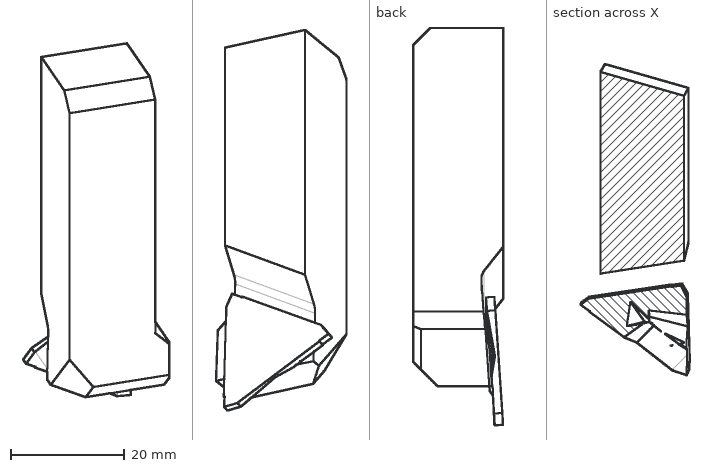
import cadquery as cq
import math

width = 15.9
bottom = 6.9
top = 70.1
top_chamfer = 3.0

heel_depth = 3.1
heel_height = 10.1
heel_corner_along_x = 1.4
heel_corner_along_y = 0.55
back = width + heel_depth

relief_front = 10.6
relief_back = 4.35
relief_slant_depth = (relief_front - relief_back) / math.sqrt(2)

climb_angle = 30.0
tilt_angle = 4.5
wall_angle = 42.5
notch_start = 22.4
notch_radius = 1.8
seat_gap = 2.1
pad_radius = 5.95
cut_reach = 42.1

insert_y = 9.2
insert_z = 11.15
insert_face_x = 1.05
corner_count = 3
side_distance = 7.1
tip_offset = 6.95
tip_reach = 11.1
heel_offset = 4.35
heel_reach = 10.8
step_reach = 9.0
tip_thickness = 1.5
middle_thickness = 0.6
ramp_start = -2.45
ramp_end = 1.1

climb = math.radians(climb_angle)
tilt = math.radians(tilt_angle)
climb_direction = cq.Vector(0, math.cos(climb), math.sin(climb))
across_direction = cq.Vector(0, -math.sin(climb), math.cos(climb))
seat_normal = cq.Vector(1, 0, 0) * math.cos(tilt) - across_direction * math.sin(tilt)
insert_center = cq.Vector(insert_face_x, insert_y, insert_z)
insert_plane = cq.Plane(insert_center, climb_direction, seat_normal)
corner_angles = [k * 360.0 / corner_count - climb_angle for k in range(corner_count)]


def make_blank():
    """Square shank with a chamfered top edge."""
    blank = cq.Workplane("XY", origin=(0, 0, bottom)).box(width, width, top - bottom, centered=False)
    return blank.faces(">Z").edges(">X").chamfer(top_chamfer)


def make_heel():
    """Block behind the shank with a 45 degree upper face and a chamfered back right corner."""
    heel_top = bottom + heel_height
    heel = (
        cq.Workplane("YZ")
        .moveTo(width, bottom)
        .lineTo(back, bottom)
        .lineTo(back, heel_top)
        .lineTo(width, heel_top + heel_depth)
        .close()
        .extrude(width)
    )
    corner = (
        cq.Workplane("XY", origin=(0, 0, bottom))
        .moveTo(width, back)
        .lineTo(width - heel_corner_along_x, back)
        .lineTo(width, back - heel_corner_along_y)
        .close()
        .extrude(heel_height + heel_depth)
    )
    return heel.cut(corner)


def corner_triangle(leg, y):
    """Wire of the lower right 45 degree corner at depth y."""
    points = [(width, y, bottom), (width - leg, y, bottom), (width, y, bottom + leg)]
    return cq.Wire.makePolygon([cq.Vector(*point) for point in points], close=True)


def make_relief():
    """Corner wedge that narrows behind the front face, then runs straight to the back."""
    front_section = corner_triangle(relief_front, 0)
    inner_section = corner_triangle(relief_back, relief_slant_depth)
    back_section = corner_triangle(relief_back, back)
    slanted = cq.Workplane(cq.Solid.makeLoft([front_section, inner_section], True))
    straight = cq.Workplane(cq.Solid.makeLoft([inner_section, back_section], True))
    return slanted.union(straight)


def make_notch():
    """Channel along the climb direction: sloping wall, rounded root and flat seat."""
    plane = cq.Plane((0, 0, notch_start), (1, 0, 0), climb_direction * -1)
    slope = math.tan(tilt)
    center_across = (insert_center - cq.Vector(0, 0, notch_start)).dot(across_direction)
    seat_x = insert_face_x + seat_gap / math.cos(tilt) - slope * center_across
    wall_slope = math.tan(math.radians(wall_angle))
    root_across = -seat_x / (wall_slope + slope)
    root_x = -wall_slope * root_across
    end_x = seat_x - slope * cut_reach
    notch = (
        cq.Workplane(plane)
        .moveTo(0, 0)
        .lineTo(root_x, root_across)
        .lineTo(end_x, -cut_reach)
        .lineTo(-cut_reach, -cut_reach)
        .lineTo(-cut_reach, 0)
        .close()
        .extrude(cut_reach, both=True)
    )
    root = cq.selectors.NearestToPointSelector(plane.toWorldCoords((root_x, root_across, 0)).toTuple())
    return notch.edges(root).fillet(notch_radius)


def make_pad():
    """Round raised pad on the seat that carries the insert, cut off level with the bottom of the holder."""
    base = insert_center + seat_normal * tip_thickness
    pad = cq.Workplane(cq.Solid.makeCylinder(pad_radius, seat_gap - tip_thickness, base, seat_normal))
    above_bottom = cq.Workplane("XY", origin=(0, 0, bottom)).box(width, back, top - bottom, centered=False)
    return pad.intersect(above_bottom)


def turned(x, y, angle):
    """Point turned about the insert axis by an angle in degrees."""
    a = math.radians(angle)
    return (x * math.cos(a) - y * math.sin(a), x * math.sin(a) + y * math.cos(a))


def make_plate():
    """Triangular plate whose corners are cut square to one side."""
    corner = [
        (heel_offset, -heel_reach),
        (tip_offset, -tip_reach),
        (tip_offset, -step_reach),
        (side_distance, -step_reach),
    ]
    outline = [turned(x, y, angle) for angle in corner_angles for x, y in corner]
    return cq.Workplane(insert_plane).polyline(outline).close().extrude(tip_thickness)


def make_flank_cut(angle):
    """Cut in the back of one side: a steep ramp down, then a long rise to full thickness at the next tip."""
    along = cq.Vector(*turned(0, 0.7, angle), 0)
    outward = cq.Vector(*turned(0.7, 0, angle), 0)
    plane = cq.Plane(
        insert_center,
        insert_plane.toWorldCoords(along) - insert_center,
        insert_plane.toWorldCoords(outward) - insert_center,
    )
    return (
        cq.Workplane(plane)
        .moveTo(ramp_start, tip_thickness)
        .lineTo(ramp_end, middle_thickness)
        .lineTo(step_reach, tip_thickness)
        .close()
        .extrude(cut_reach)
    )


def make_holder():
    """Shank and head with the relief, the notch and the pad."""
    return make_blank().union(make_heel()).cut(make_relief()).cut(make_notch()).union(make_pad())


def make_insert():
    """Plate with one flank cut per side."""
    plate = make_plate()
    for angle in corner_angles:
        plate = plate.cut(make_flank_cut(angle))
    return plate


holder = make_holder()
insert = make_insert()

result = cq.Compound.makeCompound([holder.solids().val(), insert.solids().val()])